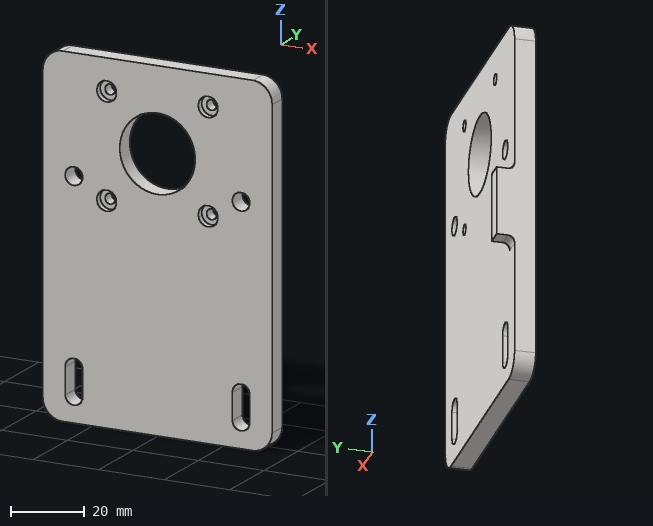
import cadquery as cq

plate_width = 70.0
plate_height = 105.0
plate_thickness = 6.0
corner_radius = 6.0

total_depth = 11.0
block_width = 5.0
block_height = 20.0
block_center_z = -2.4
block_root_radius = 2.0

motor_z = 27.5
motor_bore_diameter = 23.0
screw_spacing = 31.0
screw_diameter = 3.0
counterbore_diameter = 6.0
counterbore_depth = 2.0

mount_spacing = 51.0
mount_diameter = 5.2
mount_hole_z = 17.5
slot_z = -40.7
slot_length = 13.2

front_y = -total_depth / 2
plate_back_y = front_y + plate_thickness
back_y = total_depth / 2


def front_sketch():
    """Work plane on the front face, with its normal pointing into the plate."""
    plane = cq.Plane(origin=(0, front_y, 0), xDir=(-1, 0, 0), normal=(0, 1, 0))
    return cq.Workplane(plane)


def make_plate():
    blank = front_sketch().rect(plate_width, plate_height).extrude(plate_thickness)
    return blank.edges("|Y").fillet(corner_radius)


def make_block():
    """Block with concave fillets where its ends meet the back of the plate."""
    r = block_root_radius
    top = block_center_z + block_height / 2
    bottom = block_center_z - block_height / 2
    foot_y = plate_back_y + r
    middle_y = (front_y + plate_back_y) / 2
    return (
        cq.Workplane("YZ", origin=(-plate_width / 2, 0, 0))
        .moveTo(middle_y, top + r)
        .lineTo(plate_back_y, top + r)
        .radiusArc((foot_y, top), -r)
        .lineTo(back_y, top)
        .lineTo(back_y, bottom)
        .lineTo(foot_y, bottom)
        .radiusArc((plate_back_y, bottom - r), -r)
        .lineTo(middle_y, bottom - r)
        .close()
        .extrude(block_width)
    )


def screw_holes():
    centers = front_sketch().center(0, motor_z).rect(screw_spacing, screw_spacing, forConstruction=True)
    through = centers.vertices().circle(screw_diameter / 2).extrude(plate_thickness)
    recesses = centers.vertices().circle(counterbore_diameter / 2).extrude(counterbore_depth)
    return through.union(recesses)


def mount_openings():
    half_spacing = mount_spacing / 2
    holes = (
        front_sketch()
        .pushPoints([(-half_spacing, mount_hole_z), (half_spacing, mount_hole_z)])
        .circle(mount_diameter / 2)
        .extrude(plate_thickness)
    )
    slots = (
        front_sketch()
        .pushPoints([(-half_spacing, slot_z), (half_spacing, slot_z)])
        .slot2D(slot_length, mount_diameter, 90)
        .extrude(plate_thickness)
    )
    return holes.union(slots)


motor_bore = front_sketch().center(0, motor_z).circle(motor_bore_diameter / 2).extrude(plate_thickness)

result = make_plate().union(make_block())
result = result.cut(motor_bore).cut(screw_holes()).cut(mount_openings())